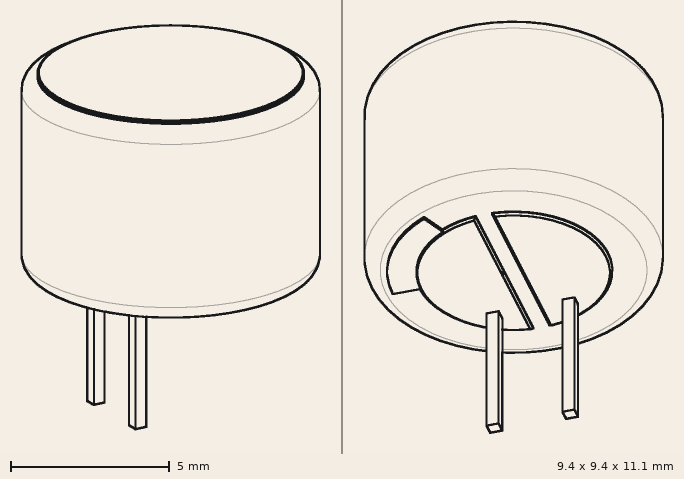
import cadquery as cq
import math

total_height = 11.1
body_diameter = 9.4
rim_radius = 0.5
lid_height = 0.1
lid_chamfer = 0.04

pin_length = 4.5
pin_width = 0.4
pin_pitch = 2.5
pin_offset_y = -2.0

base_radius = 3.11
base_height = 0.1
base_chamfer = 0.08
slot_width = 0.53
slot_center_x = 0.03
sector_radius = 3.98
sector_height = 0.07
sector_angle = 62

body_height = total_height - pin_length - lid_height
lid_diameter = body_diameter - 2 * rim_radius


def make_body():
    body = cq.Workplane("XY").circle(body_diameter / 2).extrude(body_height)
    return body.faces("<Z or >Z").edges().fillet(rim_radius)


def make_lid():
    lid = cq.Workplane("XY", origin=(0, 0, body_height)).circle(lid_diameter / 2).extrude(lid_height)
    return lid.faces(">Z").edges().chamfer(lid_chamfer)


def make_split_base():
    disc = cq.Workplane("XY").circle(base_radius).extrude(-base_height)
    slot = (
        cq.Workplane("XY")
        .center(slot_center_x, 0)
        .rect(slot_width, 2 * base_radius)
        .extrude(-base_height)
    )
    return disc.cut(slot).faces("<Z").edges().chamfer(base_chamfer)


def sector_rim_point(degrees):
    angle = math.radians(degrees)
    return (sector_radius * math.cos(angle), sector_radius * math.sin(angle))


def make_side_sector():
    tip_x = slot_center_x + slot_width / 2
    return (
        cq.Workplane("XY")
        .moveTo(tip_x, 0)
        .lineTo(*sector_rim_point(0))
        .threePointArc(sector_rim_point(sector_angle / 2), sector_rim_point(sector_angle))
        .close()
        .extrude(-sector_height)
    )


def make_pins():
    centers = [(side * pin_pitch / 2, pin_offset_y) for side in (-1, 1)]
    return cq.Workplane("XY").pushPoints(centers).rect(pin_width, pin_width).extrude(-pin_length)


result = (
    make_body()
    .union(make_lid())
    .union(make_split_base())
    .union(make_side_sector())
    .union(make_pins())
)